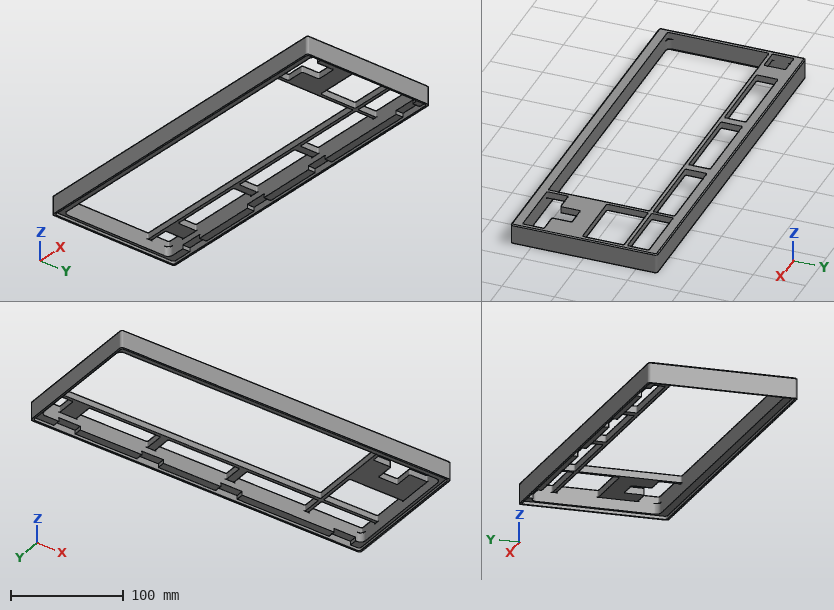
import cadquery as cq

LENGTH = 358.5
WIDTH = 140.0
HEIGHT = 19.5

LIP = 1.8
RECESS_DEPTH = 3.0
PLATE = 6.5
OUTER_RADIUS = 2.5
CAVITY_RADIUS = 5.0
TOP_CHAMFER = 1.0

FIELD_LENGTH = 348.0
FIELD_COLUMNS = 18.25
FIELD_ROWS = 6.25
PITCH = FIELD_LENGTH / FIELD_COLUMNS
FIELD_WIDTH = FIELD_ROWS * PITCH
KEY_CLEARANCE = 0.7
OPENING_RADIUS = 1.25

NOTCH_CENTERS = [-143.5, -53.0, 32.5, 156.0]
NOTCH_LENGTH = 23.3
NOTCH_TOP = 6.8

FUNCTION_ROW = 5.25
NAVIGATION_COLUMN = 15.25
KEY_GROUPS = [
    (0, FUNCTION_ROW, 1, 1),
    (2, FUNCTION_ROW, 4, 1),
    (6.5, FUNCTION_ROW, 4, 1),
    (11, FUNCTION_ROW, 4, 1),
    (NAVIGATION_COLUMN, FUNCTION_ROW, 3, 1),
    (0, 0, 15, 5),
    (NAVIGATION_COLUMN, 3, 3, 2),
]


def key_opening(column, row, columns, rows):
    """Sharp-cornered block through the plate around one group of keys."""
    return (
        cq.Workplane("XY")
        .box(
            columns * PITCH + 2 * KEY_CLEARANCE,
            rows * PITCH + 2 * KEY_CLEARANCE,
            PLATE,
            centered=(True, True, False),
        )
        .translate(
            (
                (column + columns / 2) * PITCH - FIELD_LENGTH / 2,
                (row + rows / 2) * PITCH - FIELD_WIDTH / 2,
                HEIGHT - PLATE,
            )
        )
    )


def arrow_opening():
    """Inverted T: three arrow keys in the bottom row and one above the middle."""
    bottom_keys = key_opening(NAVIGATION_COLUMN, 0, 3, 1)
    middle_keys = key_opening(NAVIGATION_COLUMN + 1, 0, 1, 2)
    return bottom_keys.union(middle_keys)


def outer_block():
    block = cq.Workplane("XY").box(LENGTH, WIDTH, HEIGHT, centered=(True, True, False))
    return block.edges("|Z").fillet(OUTER_RADIUS).faces(">Z").edges().chamfer(TOP_CHAMFER)


def cavity():
    """Hollow below the plate, flush with the outermost sides of the openings."""
    hollow = cq.Workplane("XY").box(
        FIELD_LENGTH + 2 * KEY_CLEARANCE,
        FIELD_WIDTH + 2 * KEY_CLEARANCE,
        HEIGHT - PLATE,
        centered=(True, True, False),
    )
    return hollow.edges("|Z").fillet(CAVITY_RADIUS)


def base_recess():
    """Shallow step around the cavity that seats a base plate."""
    recess = cq.Workplane("XY").box(
        LENGTH - 2 * LIP, WIDTH - 2 * LIP, RECESS_DEPTH, centered=(True, True, False)
    )
    return recess.edges("|Z").fillet(OUTER_RADIUS)


def rear_notch(center_x):
    """Pocket from the cavity through the rear rail to the edge of the base recess."""
    notch_depth = (WIDTH - FIELD_WIDTH) / 2 - LIP
    return (
        cq.Workplane("XY")
        .box(NOTCH_LENGTH, notch_depth, NOTCH_TOP, centered=(True, False, False))
        .translate((center_x, FIELD_WIDTH / 2, 0))
    )


result = outer_block().cut(cavity()).cut(base_recess())
openings = [key_opening(*group) for group in KEY_GROUPS] + [arrow_opening()]
for opening in openings:
    result = result.cut(opening.edges("|Z").fillet(OPENING_RADIUS))
for notch_center in NOTCH_CENTERS:
    result = result.cut(rear_notch(notch_center))